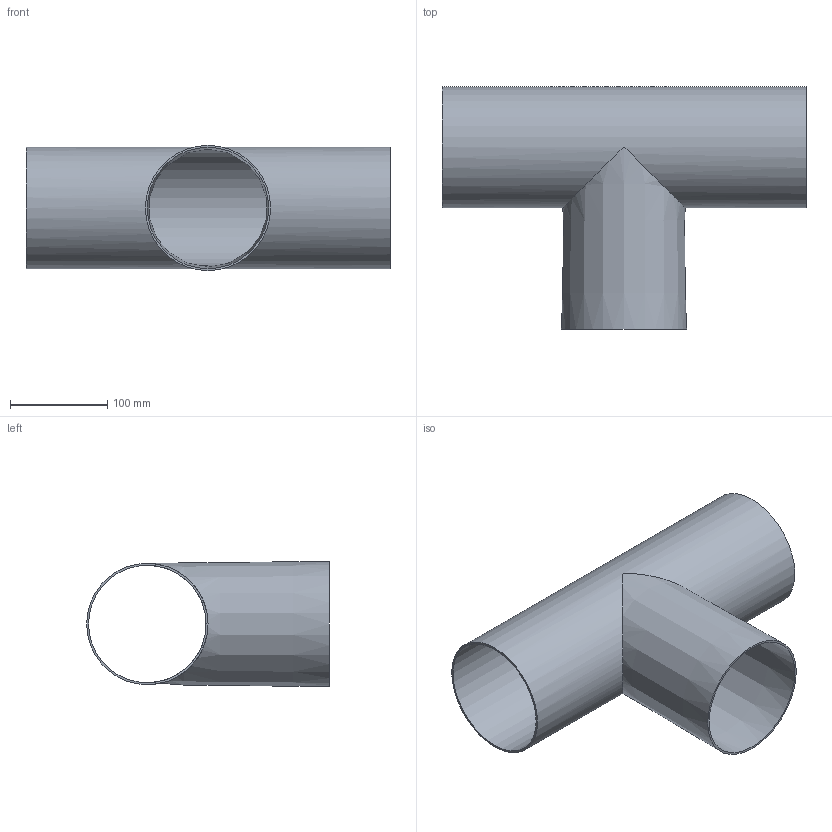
import cadquery as cq

pipe_length = 375.0
pipe_diameter = 125.0
wall_thickness = 2.0

branch_root_diameter = pipe_diameter
branch_end_diameter = 129.0
branch_length = pipe_length / 2


def pipe_cylinder(diameter):
    """Solid cylinder along X, as long as the main pipe."""
    return (
        cq.Workplane("YZ")
        .circle(diameter / 2)
        .extrude(pipe_length / 2, both=True)
    )


def branch_cone(root_diameter, end_diameter):
    """Solid cone along -Y, from the main pipe's axis to the open end of the branch."""
    return (
        cq.Workplane("YZ")
        .lineTo(0, root_diameter / 2)
        .lineTo(-branch_length, end_diameter / 2)
        .lineTo(-branch_length, 0)
        .close()
        .revolve(360, (0, 0), (1, 0))
    )


outside = pipe_cylinder(pipe_diameter).union(
    branch_cone(branch_root_diameter, branch_end_diameter)
)

pipe_bore = pipe_cylinder(pipe_diameter - 2 * wall_thickness)
branch_bore = branch_cone(
    branch_root_diameter - 2 * wall_thickness,
    branch_end_diameter - 2 * wall_thickness,
)

result = outside.cut(pipe_bore).cut(branch_bore)